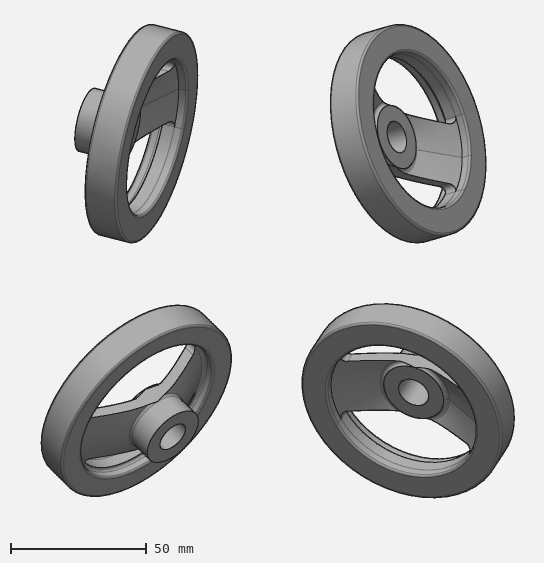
import cadquery as cq
import math

wheel_radius = 40.0
wheel_depth = 28.0
rim_width = 12.8
rim_front = wheel_depth - rim_width
rim_bore_radius = 30.8
rim_edge_round = 0.8

hub_radius = 12.0
hub_back = 16.4
shaft_bore_radius = 6.0

web_root_front = 9.6
web_slope = math.tan(math.radians(30))
web_thickness = 4.0
web_axial_thickness = web_thickness * math.hypot(1, web_slope)
web_fillet = 1.2

window_radius = 29.6
spoke_half_width = hub_radius
window_corner_radius = 2.0


def web_front_at(radius):
    """X of the conical front face of the web at a given radius."""
    return web_root_front + (radius - hub_radius) * web_slope


def revolve_profile(points):
    """Revolve a closed (x, radius) outline around the X axis."""
    return cq.Workplane("XY").polyline(points).close().revolve(360, (0, 0), (1, 0))


def circles_at(body, x_positions, radii):
    """Select the circular edges of the body at the given x positions and radii."""
    tolerance = 0.01

    def matches(edge):
        if edge.geomType() != "CIRCLE":
            return False
        x_matches = any(abs(edge.Center().x - x) < tolerance for x in x_positions)
        return x_matches and any(abs(edge.radius() - r) < tolerance for r in radii)

    return body.edges().filter(matches)


def make_wheel_body():
    """Hub, dished web and rim as one revolved body, still solid at the back."""
    web_front_outer = web_front_at(rim_bore_radius)
    body = revolve_profile([
        (0, 0),
        (0, hub_radius),
        (web_root_front, hub_radius),
        (web_front_outer, rim_bore_radius),
        (rim_front, rim_bore_radius),
        (rim_front, wheel_radius),
        (wheel_depth, wheel_radius),
        (wheel_depth, 0),
    ])
    rim_faces = [rim_front, wheel_depth]
    rim_radii = [rim_bore_radius, wheel_radius]
    rim_edges = circles_at(body, rim_faces, rim_radii)
    body = rim_edges.fillet(rim_edge_round)
    web_edges = circles_at(body, [web_root_front], [hub_radius])
    web_edges = web_edges.add(circles_at(body, [web_front_outer], [rim_bore_radius]))
    return web_edges.fillet(web_fillet)


def make_rear_recess():
    """Ring-shaped cutter that follows the back of the hub and web."""
    web_back = web_root_front + web_axial_thickness
    recess = revolve_profile([
        (web_back, hub_radius),
        (web_front_at(window_radius) + web_axial_thickness, window_radius),
        (wheel_depth, window_radius),
        (wheel_depth, 0),
        (hub_back, 0),
        (hub_back, hub_radius),
    ])
    return circles_at(recess, [web_back], [hub_radius]).fillet(web_fillet)


def make_window(side):
    """Circular-segment cutter above (side = 1) or below (side = -1) the spoke."""
    half_chord = math.sqrt(window_radius**2 - spoke_half_width**2)
    return (
        cq.Workplane("YZ")
        .moveTo(-half_chord, side * spoke_half_width)
        .threePointArc((0, side * window_radius), (half_chord, side * spoke_half_width))
        .close()
        .extrude(wheel_depth)
        .edges("|X")
        .fillet(window_corner_radius)
    )


result = make_wheel_body()
for window_side in (1, -1):
    result = result.cut(make_window(window_side))

shaft_bore = cq.Workplane("YZ").circle(shaft_bore_radius).extrude(wheel_depth)
result = result.cut(shaft_bore)

result = result.cut(make_rear_recess())
result = circles_at(result, [wheel_depth], [window_radius]).fillet(rim_edge_round)